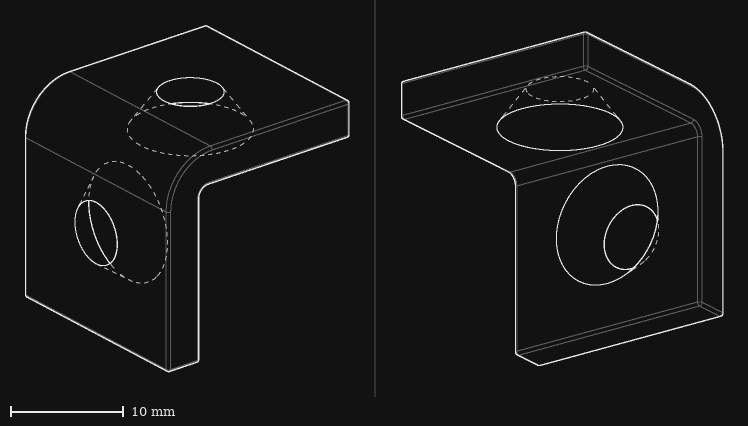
import cadquery as cq

width = 20.5
leg_length = 20.7
thickness = 3.65
outer_bend_radius = 5.0
inner_bend_radius = 1.0
edge_radius = 0.3
hole_diameter = 6.0
flare_diameter = 11.2
hole_to_leg_end = 10.0

inner_bend_start = thickness + inner_bend_radius
hole_to_corner = leg_length - hole_to_leg_end



def bent_plate():
    """L-shaped plate with a rounded bend, centred on X."""
    profile = (
        cq.Workplane("YZ")
        .moveTo(leg_length, 0)
        .lineTo(outer_bend_radius, 0)
        .radiusArc((0, -outer_bend_radius), -outer_bend_radius)
        .lineTo(0, -leg_length)
        .lineTo(thickness, -leg_length)
        .lineTo(thickness, -inner_bend_start)
        .radiusArc((inner_bend_start, -thickness), inner_bend_radius)
        .lineTo(leg_length, -thickness)
        .close()
    )
    return profile.extrude(width / 2, both=True)


def round_edges(plate):
    """Round both side outlines and the edges of the two leg ends."""
    return plate.faces("<X or >X or >Y or <Z").edges().fillet(edge_radius)


def flared_hole(plane):
    """Conical cutter, small on the outer face and wide on the inner face."""
    return (
        plane.circle(hole_diameter / 2)
        .workplane(offset=-thickness)
        .circle(flare_diameter / 2)
        .loft(ruled=True)
    )


top_hole = flared_hole(cq.Workplane("XY").center(0, hole_to_corner))
front_hole = flared_hole(cq.Workplane("XZ").center(0, -hole_to_corner))

result = round_edges(bent_plate()).cut(top_hole).cut(front_hole)